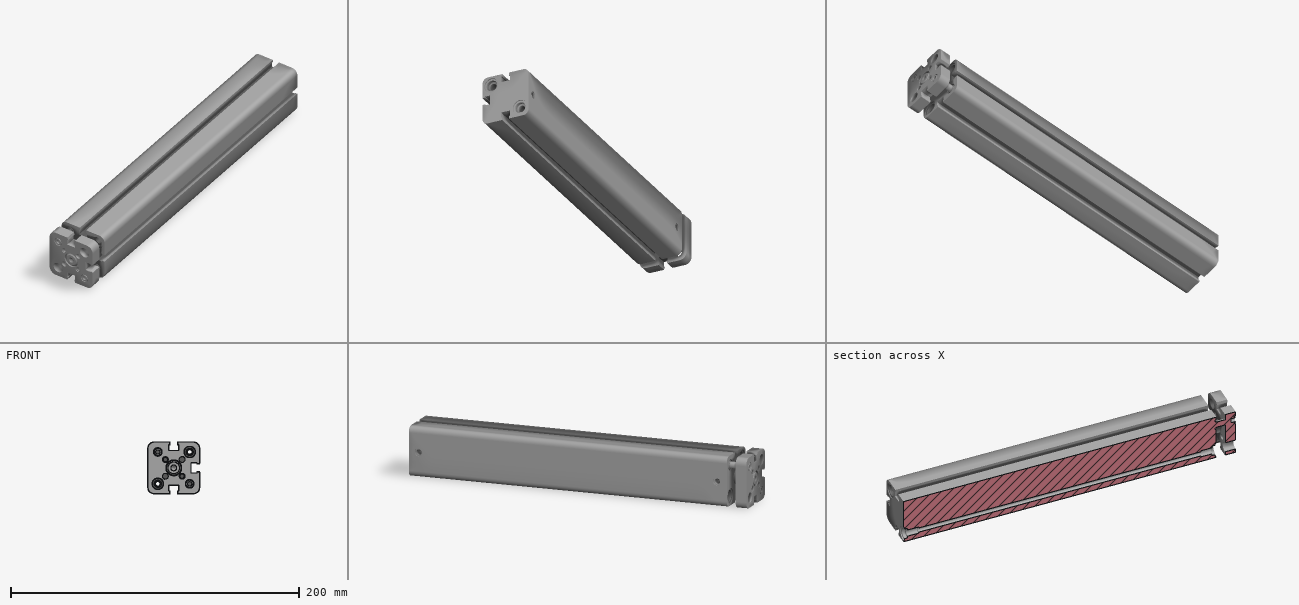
import cadquery as cq
length = 251.5
plate_width = 36.2
body_width = 36.0
plate_thickness = 8.0
plate_gap = 6.5
body_front = plate_thickness + plate_gap
plate_corner = 5.0
body_corner = 4.3

slot_opening = 5.3
plate_slot_mouth = 6.5
slot_inside = 6.8
slot_depth = 6.0
lip_thickness = 2.0

corner_offset = 11.0
inner_offset = 5.8
guide_corners = [(-corner_offset, corner_offset), (corner_offset, -corner_offset)]
mount_corners = [(corner_offset, corner_offset), (-corner_offset, -corner_offset)]
dowel_points = [(inner_offset, inner_offset), (-inner_offset, -inner_offset)]
thread_points = [(-inner_offset, inner_offset), (inner_offset, -inner_offset)]
centre = [(0, 0)]

mount_through = 3.3
mount_steps = [(10.8, 0.3), (8.0, 1.2), (5.0, 4.6)]

access_diameter = 7.5
dowel_diameter = 4.0
thread_mouth = 4.0
thread_mouth_depth = 0.5
thread_diameter = 3.0

guide_diameter = 5.0
guide_recess = 8.0
guide_bushing = 6.0
guide_recess_depth = 0.8
screw_hole = 6.0
screw_head = 5.0
screw_recess_depth = 1.0
screw_socket = 3.0
screw_socket_depth = 3.5

piston_diameter = 10.0
flat_distance = 8.3
flat_length = 3.0
flat_runout = 1.5
piston_chamfer_length = 1.5
piston_chamfer = 0.3
seat_diameter = 11.0
seat_depth = 1.3
piston_end_diameter = 10.0
piston_end_bevel = 1.0
centre_cone_diameter = 4.0
centre_cone_depth = 2.0

port_inset = 7.3
port_steps = [(5.5, 0.8), (4.0, 3.8), (1.8, 6.3)]


def rods(points, diameter, y_start, y_end):
    """Cylinders along Y at the given (x, z) points."""
    plane = cq.Workplane("XZ", origin=(0, y_start, 0))
    return plane.pushPoints(points).circle(diameter / 2).extrude(y_start - y_end)


def rings(points, outer, inner, y_start, y_end):
    """Tubes along Y at the given (x, z) points."""
    return rods(points, outer, y_start, y_end).cut(rods(points, inner, y_start, y_end))


def square_bar(size, corner, y_start, y_end):
    """Square bar along Y with rounded long edges."""
    bar = cq.Workplane("XZ", origin=(0, y_start, 0)).rect(size, size).extrude(y_start - y_end)
    return bar.edges("|Y").fillet(corner)


def cut_grooves(solid, solid_width, opening, y_start, y_end):
    """Cut a T groove in three sides; opening is its width at the outer surface."""
    half = solid_width / 2
    lip_bottom = half - lip_thickness
    floor = half - slot_depth
    profile = [
        (opening / 2, half),
        (slot_opening / 2, lip_bottom),
        (slot_inside / 2, lip_bottom),
        (slot_inside / 2, floor),
    ]
    profile += [(-x, z) for x, z in reversed(profile)]
    cutter = cq.Workplane("XZ", origin=(0, y_start, 0)).polyline(profile).close()
    cutter = cutter.extrude(y_start - y_end)
    for angle in (0, 90, 180):
        solid = solid.cut(cutter.rotate((0, 0, 0), (0, 1, 0), angle))
    return solid


def cut_ports(body):
    for y in (body_front + port_inset, length - port_inset):
        port = cq.Workplane("YZ", origin=(-body_width / 2, y, 0))
        for diameter, depth in port_steps:
            body = body.cut(port.circle(diameter / 2).extrude(depth))
    return body


def make_body():
    body = square_bar(body_width, body_corner, body_front, length)
    body = cut_grooves(body, body_width, slot_opening, body_front, length)
    body = body.cut(rods(mount_corners, mount_through, body_front, length))
    for face, inward in ((body_front, 2.5), (length, -2.5)):
        for diameter, depth in mount_steps:
            body = body.cut(rods(mount_corners, diameter, face, face + inward * depth))
    guide_floor = body_front + guide_recess_depth
    body = body.cut(rings(guide_corners, guide_recess, guide_bushing, body_front, guide_floor))
    return cut_ports(body)


def make_plate():
    plate = square_bar(plate_width, plate_corner, 0, plate_thickness)
    plate = cut_grooves(plate, plate_width, plate_slot_mouth, 0, plate_thickness)
    plate = plate.cut(rods(mount_corners, access_diameter, 0, plate_thickness))
    plate = plate.cut(rods(dowel_points, dowel_diameter, 0, plate_thickness))
    plate = plate.cut(rods(thread_points, thread_mouth, 0, thread_mouth_depth))
    plate = plate.cut(rods(thread_points, thread_diameter, 0, plate_thickness))
    return plate


def make_piston():
    """Exposed piston rod, bevelled at the plate, with flats on its two X sides."""
    radius = piston_diameter / 2
    piston = rods(centre, piston_diameter, plate_thickness, body_front)
    flat_end = plate_thickness + flat_length
    flats = (
        cq.Workplane("XY", origin=(0, 0, -radius))
        .moveTo(-flat_distance / 2, plate_thickness)
        .lineTo(flat_distance / 2, plate_thickness)
        .lineTo(flat_distance / 2, flat_end)
        .lineTo(radius, flat_end + flat_runout)
        .lineTo(radius, body_front)
        .lineTo(-radius, body_front)
        .lineTo(-radius, flat_end + flat_runout)
        .lineTo(-flat_distance / 2, flat_end)
        .close()
        .extrude(piston_diameter)
    )
    piston = piston.faces("<Y").chamfer(piston_chamfer, piston_chamfer_length)
    return piston.intersect(flats)


def cut_guide_screws(part):
    part = part.cut(rings(guide_corners, screw_hole, screw_head, 0, screw_recess_depth))
    return part.cut(rods(guide_corners, screw_socket, 0, screw_socket_depth))


def cut_piston_seat(part):
    """Ring groove around the bevelled rod end, with a conical centre hole."""
    end = rods(centre, piston_end_diameter, 0, seat_depth).faces("<Y").chamfer(piston_end_bevel)
    part = part.cut(rods(centre, seat_diameter, 0, seat_depth).cut(end))
    cone = cq.Solid.makeCone(
        centre_cone_diameter / 2, 0, centre_cone_depth, cq.Vector(0, 0, 0), cq.Vector(0, 1, 0)
    )
    return part.cut(cq.Workplane(obj=cone))


guide_rods = rods(guide_corners, guide_diameter, plate_thickness, body_front)
result = make_body().union(make_plate()).union(make_piston()).union(guide_rods)
result = cut_guide_screws(result)
result = cut_piston_seat(result)